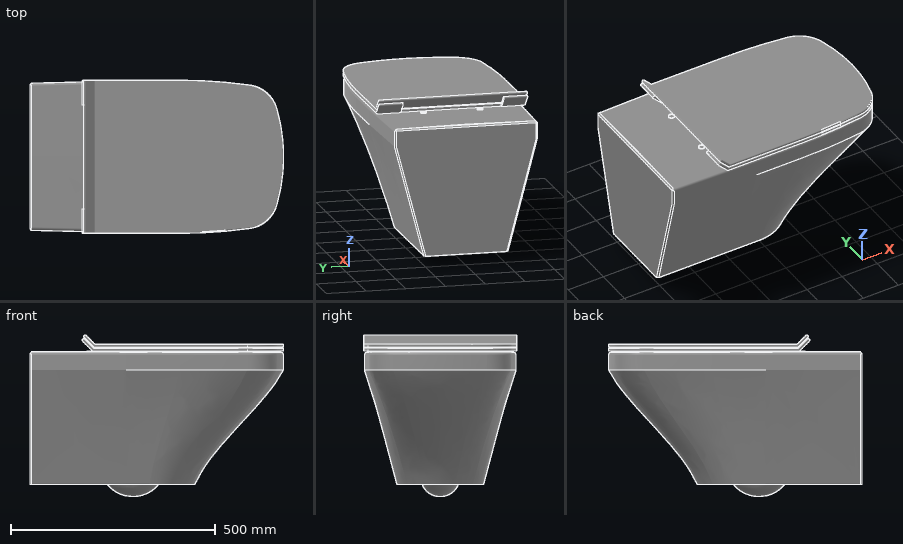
import cadquery as cq
import math


length = 620.18
seat_half_width = 374.61 / 2
bowl_half_width = 185.5
flare_x = 236
straight_end_x = 367
flank_end = (532, 0.940)
corner_mid = (582, 0.822)
nose_start = (604, 0.620)
round_shrink = (0.185, 0.29, 0.27)

rim_z = 324
skirt_z = 280
back_half_width_top = 180
skirt_sections = [(160.5, 148.5, 526, 0.45), (57.5, 121, 437, 0.8), (0, 106, 403, 1)]
rim_fillet = 8
wall_edge_chamfer = 4
base_fillet = 2.5
crown_height = 2
crown_length = 220
crown_front_height = 0.3

bend_radius = 80.6
bend_tube_radius = 48
bend_x = 252
bend_drop = 29.3

stud_diameter = 15
stud_x = 147
stud_spacing = 142

plate_thickness = 7.4
plate_gap = 2.4
stud_height = plate_gap
seat_z = rim_z + plate_gap
lid_z = seat_z + plate_thickness + plate_gap
plate_edge_fillet = 3
flap_angle = 45
seat_bend_x = 153
lid_bend_x = 156
seat_flap_length = 37.5
lid_flap_length = 36.75
seat_notch_width = 254
seat_notch_end_x = 158

lip_center_x = 390
lip_semi_x = 166
lip_semi_y = 126
lip_height = 2
lip_draft = 60

pad_length = 36
pad_width = 19.5
rear_pad = (305, 166)
front_pad = (527, 156)


def front_points(half_width, section_length, roundness):
    """Flank, corner and nose points, stretched from the full plan to this width and length."""
    stretch = (section_length - flare_x) / (length - flare_x)
    points = [(flare_x + (straight_end_x - flare_x) * stretch, half_width)]
    for (x, share), shrink in zip((flank_end, corner_mid, nose_start), round_shrink):
        points.append((flare_x + (x - flare_x) * stretch, (share - roundness * shrink) * half_width))
    return points


def plan(z, half_width, section_length, back_half_width, roundness=0):
    """Closed plan outline at height z, symmetric about Y = 0."""
    straight_end, flank, corner, nose = front_points(half_width, section_length, roundness)
    mid_x = (straight_end[0] + flank[0]) / 2
    mid_y = (straight_end[1] + flank[1]) / 2 + (straight_end[1] - flank[1]) / 4

    def mirrored(point):
        return (point[0], -point[1])

    bow = (mid_x, mid_y)
    return (
        cq.Workplane("XY", origin=(0, 0, z))
        .moveTo(0, -back_half_width)
        .lineTo(flare_x, -half_width)
        .lineTo(*mirrored(straight_end))
        .threePointArc(mirrored(bow), mirrored(flank))
        .threePointArc(mirrored(corner), mirrored(nose))
        .threePointArc((section_length, 0), nose)
        .threePointArc(corner, flank)
        .threePointArc(bow, straight_end)
        .lineTo(flare_x, half_width)
        .lineTo(0, back_half_width)
        .close()
    )


def make_skirt():
    wires = [plan(skirt_z, bowl_half_width, length, back_half_width_top).val()]
    for z, half_width, section_length, roundness in skirt_sections:
        wires.append(plan(z, half_width, section_length, half_width, roundness).val())
    return cq.Workplane(cq.Solid.makeLoft(wires))


def make_drain_bend():
    """Outside of a tight pipe bend: a circular segment turned about a line along Y."""
    offset = bend_radius - bend_tube_radius
    half_chord = math.sqrt(bend_tube_radius**2 - offset**2)
    return (
        cq.Workplane("YZ", origin=(bend_x, 0, bend_radius - bend_drop))
        .moveTo(-half_chord, 0)
        .threePointArc((0, -bend_radius), (half_chord, 0))
        .close()
        .revolve(360, (0, 0), (1, 0))
    )


def make_deck_crown():
    """Low gable on the rear deck, highest at the wall and fading out toward the seat."""
    ends = []
    for x, height in [(wall_edge_chamfer, crown_height), (crown_length, crown_front_height)]:
        half_width = back_half_width_top - rim_fillet
        corners = [(x, -half_width, rim_z), (x, half_width, rim_z), (x, 0, rim_z + height)]
        ends.append(cq.Wire.makePolygon([cq.Vector(*corner) for corner in corners], close=True))
    return cq.Workplane(cq.Solid.makeLoft(ends, True))


def make_bowl():
    band = plan(skirt_z, bowl_half_width, length, back_half_width_top).extrude(rim_z - skirt_z)
    bowl = make_skirt().union(band)
    bowl = bowl.faces("<X").edges("not <Z").chamfer(wall_edge_chamfer)
    bowl = bowl.faces(">Z").edges("not <X").fillet(rim_fillet)
    bowl = bowl.faces("<Z").edges("not <X").fillet(base_fillet)
    studs = (
        cq.Workplane("XY", origin=(stud_x, 0, rim_z - rim_fillet))
        .rarray(1, stud_spacing, 1, 2)
        .circle(stud_diameter / 2)
        .extrude(rim_fillet + stud_height)
    )
    return bowl.union(make_drain_bend()).union(make_deck_crown()).union(studs)


def make_bent_plate(bottom_z, bend_x_bottom, flap_length):
    """Flat plate with the seat outline and a flap that rises to the rear."""
    angle = math.radians(flap_angle)
    along = (-flap_length * math.cos(angle), flap_length * math.sin(angle))
    across = (plate_thickness * math.sin(angle), plate_thickness * math.cos(angle))
    inner_bend_x = bend_x_bottom + plate_thickness * math.tan(angle / 2)
    top_z = bottom_z + plate_thickness
    tip = (bend_x_bottom + along[0], bottom_z + along[1])
    strip = (
        cq.Workplane("XZ", origin=(0, seat_half_width, 0))
        .polyline([
            (length, bottom_z),
            (bend_x_bottom, bottom_z),
            tip,
            (tip[0] + across[0], tip[1] + across[1]),
            (inner_bend_x, top_z),
            (length, top_z),
        ])
        .close()
        .extrude(2 * seat_half_width)
    )
    outline = plan(0, seat_half_width, length, seat_half_width).extrude(lid_z + length)
    return strip.intersect(outline).edges().fillet(plate_edge_fillet)


def make_lid():
    return make_bent_plate(lid_z, lid_bend_x, lid_flap_length)


def make_seat():
    seat = make_bent_plate(seat_z, seat_bend_x, seat_flap_length)
    notch = cq.Workplane("XY").box(
        seat_notch_end_x, seat_notch_width, 2 * length, centered=(False, True, True)
    )
    lip = (
        cq.Workplane("XY", origin=(lip_center_x, 0, seat_z))
        .ellipse(lip_semi_x, lip_semi_y)
        .extrude(-lip_height, taper=lip_draft)
    )
    return seat.cut(notch).union(lip)


def make_pad(x, y, z):
    return cq.Workplane("XY", origin=(x, y, z)).slot2D(pad_length, pad_width).extrude(plate_gap)


bowl = make_bowl()
seat = make_seat()
lid = make_lid()

pads = []
for pad_place, base_z in [(rear_pad, rim_z), (front_pad, rim_z), (front_pad, lid_z - plate_gap)]:
    pad_x, pad_y = pad_place
    for side in (-1, 1):
        pads.append(make_pad(pad_x, side * pad_y, base_z))

result = cq.Compound.makeCompound(
    [bowl.val(), seat.val(), lid.val(), *[pad.val() for pad in pads]]
)